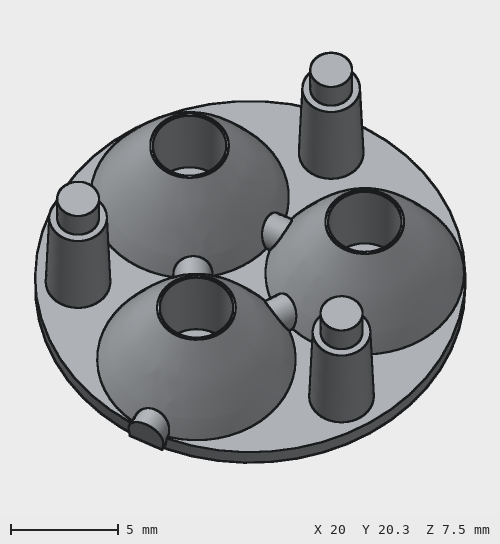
import cadquery as cq
import math

plate_radius = 10.0
plate_height = 0.85

socket_count = 3
socket_circle_radius = 5.33
socket_foot_radius = 4.61
socket_rim_radius = 1.83
socket_bore_radius = 1.7
socket_top = 5.0
socket_bulge = 0.16

post_circle_radius = 8.0
post_foot_radius = 1.5
post_shoulder_radius = 1.35
post_shoulder_height = 6.0
pin_radius = 0.98
pin_top = 7.5

duct_floor = 0.37
duct_axis_height = 0.94
duct_floor_inset = 0.06
duct_radius = 0.91
outlet_reach = 10.33
link_length = 2.03

first_socket_angle = -90
angle_step = 360 / socket_count
half_step = angle_step / 2


def polar(radius, degrees):
    angle = math.radians(degrees)
    return radius * math.cos(angle), radius * math.sin(angle)


def make_socket():
    """Solid of revolution whose side bulges slightly outward."""
    middle_radius = (socket_foot_radius + socket_rim_radius) / 2 + socket_bulge
    middle_height = (plate_height + socket_top) / 2
    return (
        cq.Workplane("XZ")
        .lineTo(socket_foot_radius, 0)
        .lineTo(socket_foot_radius, plate_height)
        .threePointArc((middle_radius, middle_height), (socket_rim_radius, socket_top))
        .lineTo(0, socket_top)
        .close()
        .revolve(360, (0, 0, 0), (0, 1, 0))
    )


def make_post():
    """Tapered post with a thinner straight pin on top."""
    return (
        cq.Workplane("XZ")
        .lineTo(post_foot_radius, 0)
        .lineTo(post_foot_radius, plate_height)
        .lineTo(post_shoulder_radius, post_shoulder_height)
        .lineTo(pin_radius, post_shoulder_height)
        .lineTo(pin_radius, pin_top)
        .lineTo(0, pin_top)
        .close()
        .revolve(360, (0, 0, 0), (0, 1, 0))
    )


def make_duct(length):
    """Bar along -Y from the origin, with slightly tapered sides and a half-round top."""
    return (
        cq.Workplane("XZ")
        .moveTo(duct_floor_inset - duct_radius, duct_floor)
        .lineTo(-duct_radius, duct_axis_height)
        .threePointArc((0, duct_axis_height + duct_radius), (duct_radius, duct_axis_height))
        .lineTo(duct_radius - duct_floor_inset, duct_floor)
        .close()
        .extrude(length)
    )


plate = cq.Workplane("XY").circle(plate_radius).extrude(plate_height)
socket_angles = [first_socket_angle + i * angle_step for i in range(socket_count)]
socket_centers = [polar(socket_circle_radius, angle) for angle in socket_angles]

plate_envelope = cq.Workplane("XY").circle(plate_radius).extrude(socket_top)
result = plate
for x, y in socket_centers:
    socket = make_socket().translate((x, y, 0))
    result = result.union(socket.intersect(plate_envelope))

link_circle_radius = socket_circle_radius * math.cos(math.radians(half_step))
link = make_duct(link_length).translate((0, link_length / 2, 0))
for socket_angle in socket_angles:
    gap_angle = socket_angle + half_step
    x, y = polar(link_circle_radius, gap_angle)
    result = result.union(link.rotate((0, 0, 0), (0, 0, 1), gap_angle).translate((x, y, 0)))

outlet_length = outlet_reach - socket_circle_radius
outlet = make_duct(outlet_length).translate((0, -socket_circle_radius, 0))
result = result.union(outlet)

for socket_angle in socket_angles:
    x, y = polar(post_circle_radius, socket_angle + half_step)
    result = result.union(make_post().translate((x, y, 0)))

bores = (
    cq.Workplane("XY", origin=(0, 0, plate_height))
    .pushPoints(socket_centers)
    .circle(socket_bore_radius)
    .extrude(socket_top - plate_height)
)
result = result.cut(bores)